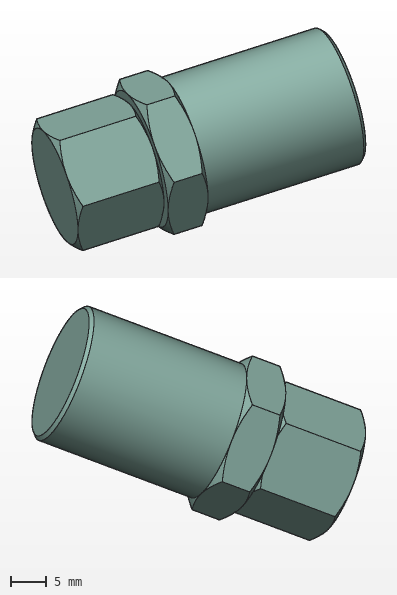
import cadquery as cq
import math

total_length = 43.0
collar_length = 6.0
small_hex_length = 13.0
barrel_length = total_length - collar_length - small_hex_length

barrel_diameter = 20.0
collar_flats = barrel_diameter
small_hex_flats = 17.0

hex_chamfer_angle = 30.0
barrel_chamfer = 0.5


def chamfered_hexagon(across_flats, length, start_y):
    """Hexagonal prism along +Y, corners up and down, conically chamfered at both ends."""
    flat_radius = across_flats / 2
    corner_radius = flat_radius / math.cos(math.radians(30))
    chamfer_length = (corner_radius - flat_radius) * math.tan(math.radians(hex_chamfer_angle))

    prism = (
        cq.Workplane("XZ")
        .polygon(6, 2 * corner_radius)
        .extrude(-length)
        .rotate((0, 0, 0), (0, 1, 0), 30)
    )
    envelope = (
        cq.Workplane("XY")
        .polyline([
            (0, 0),
            (flat_radius, 0),
            (corner_radius, chamfer_length),
            (corner_radius, length - chamfer_length),
            (flat_radius, length),
            (0, length),
        ])
        .close()
        .revolve(360, (0, 0, 0), (0, 1, 0))
    )
    return prism.intersect(envelope).translate((0, start_y, 0))


def round_barrel(start_y):
    """Plain cylinder along +Y with a chamfered free end."""
    return (
        cq.Workplane("XZ")
        .circle(barrel_diameter / 2)
        .extrude(-barrel_length)
        .faces(">Y")
        .chamfer(barrel_chamfer)
        .translate((0, start_y, 0))
    )


small_hex = chamfered_hexagon(small_hex_flats, small_hex_length, 0)
collar = chamfered_hexagon(collar_flats, collar_length, small_hex_length)
barrel = round_barrel(small_hex_length + collar_length)

result = small_hex.union(collar).union(barrel)